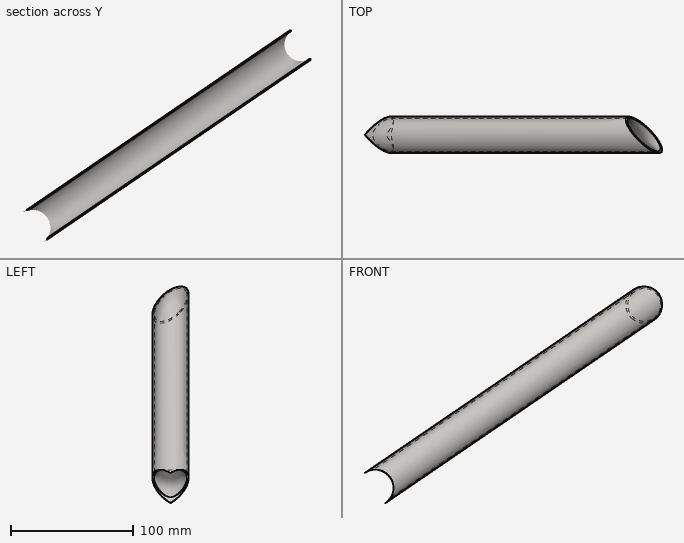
import cadquery as cq
import math

overall_x = 243.5
outer_diameter = 30.0
wall = 1.5
tilt = 34.3

outer_radius = outer_diameter / 2
inner_radius = outer_radius - wall

tilt_angle = math.radians(tilt)
cope_tip_setback = outer_radius * math.sin(tilt_angle)
axis_length = (overall_x - cope_tip_setback - outer_radius) / math.cos(tilt_angle)
blank_length = axis_length + outer_radius


def tube_blank():
    return cq.Workplane("YZ").circle(outer_radius).circle(inner_radius).extrude(blank_length)


def cope_cutter():
    return cq.Workplane("XZ").circle(outer_radius).extrude(2 * outer_radius, both=True)


def mitre_cutter():
    reach = 2 * outer_radius
    return (
        cq.Workplane("XY")
        .moveTo(axis_length - reach, reach)
        .lineTo(axis_length + reach, -reach)
        .lineTo(axis_length + reach, reach)
        .close()
        .extrude(reach, both=True)
    )


tube = tube_blank().cut(cope_cutter()).cut(mitre_cutter())
result = tube.rotate((0, 0, 0), (0, 1, 0), -tilt)